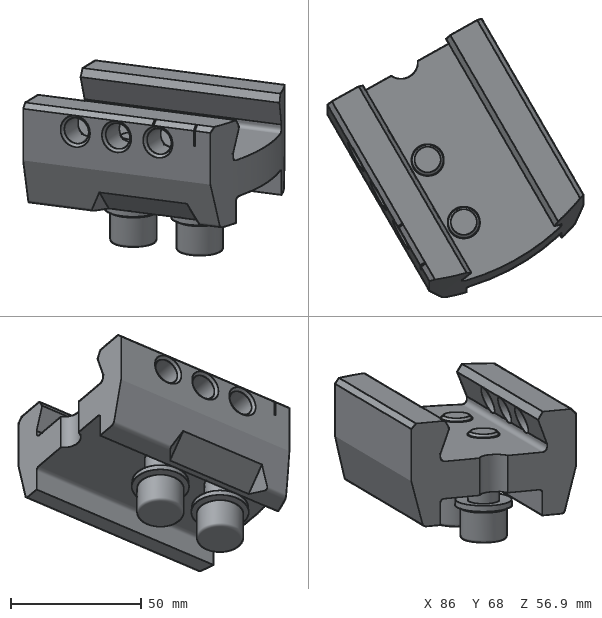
import cadquery as cq
import math


BLOCK_LENGTH = 86.0
BLOCK_WIDTH = 68.0
BLOCK_HEIGHT = 41.0
HALF_WIDTH = BLOCK_WIDTH / 2
END_RADIUS = 88.15

TOP_CHAMFER = 2.0
FLANK_BEND_Z = 18.4
FLANK_TAPER = 15.0
FOOT_ROUND = 1.7

WEB_BOTTOM_Z = 10.3
WEB_TOP_Z = 25.0

LIP_HALF_GAP = 18.3
LIP_Z = 37.9
LIP_TOP_HALF_GAP = 20.2
DOVETAIL_HALF_WIDTH = 22.0
DOVETAIL_WALL_TOP_Z = 28.1
DOVETAIL_ROUND = 2.0

LOWER_CHANNEL_BACK_Y = 22.0
LOWER_CHANNEL_FRONT_Y = -20.1
LOWER_CHANNEL_ROUND = 1.5

NOTCH_RADIUS = 6.45
NOTCH_DEPTH = 3.7

MOUTH_DIAMETER = 12.5

CROSS_HOLE_COUNT = 3
CROSS_HOLE_FIRST_X = 22.1
CROSS_HOLE_PITCH = 17.5
CROSS_HOLE_Z = 32.7
CROSS_HOLE_DIAMETER = 10.2

MARK_WIDTH = 0.5
MARK_DEPTH = 0.2
SHORT_MARK_X = 54.95
LONG_MARK_X = 72.4
LONG_MARK_BOTTOM_Z = 33.0

RELIEF_TOP_Z = 8.8
RELIEF_START_X = 31.05
RELIEF_END_X = 68.0
RELIEF_DEPTH = 10.3
RELIEF_REACH = 20.6

BOLT_XS = (35.5, 63.55)
BOLT_Y = -10.0
SHANK_DIAMETER = 12.0
SHANK_TOP_Z = 26.2
SHANK_TIP_CHAMFER = 1.0
HEAD_DIAMETER = 18.0
HEAD_TOP_Z = -3.9
HEAD_HEIGHT = 12.0
HEAD_ROUND = 1.2

WASHER_DIAMETER = 22.0
WASHER_THICKNESS = 2.2
WASHER_TOP_Z = -0.6
WASHER_CONE_ANGLE = 4.3


def flank_half_width(z):
    """Half width of the block at height z, on the tapered part of its flanks."""
    return HALF_WIDTH - (FLANK_BEND_Z - z) * math.tan(math.radians(FLANK_TAPER))


def outer_body():
    """Plain block: outer cross-section along X, one end flat and the other an arc in plan."""
    foot_half_width = flank_half_width(0)
    section = (
        cq.Workplane("YZ")
        .moveTo(-foot_half_width, 0)
        .lineTo(foot_half_width, 0)
        .lineTo(HALF_WIDTH, FLANK_BEND_Z)
        .lineTo(HALF_WIDTH, BLOCK_HEIGHT - TOP_CHAMFER)
        .lineTo(HALF_WIDTH - TOP_CHAMFER, BLOCK_HEIGHT)
        .lineTo(-HALF_WIDTH + TOP_CHAMFER, BLOCK_HEIGHT)
        .lineTo(-HALF_WIDTH, BLOCK_HEIGHT - TOP_CHAMFER)
        .lineTo(-HALF_WIDTH, FLANK_BEND_Z)
        .close()
        .extrude(BLOCK_LENGTH)
        .edges("|X and <Z")
        .fillet(FOOT_ROUND)
    )
    end_cylinder = (
        cq.Workplane("XY")
        .center(BLOCK_LENGTH - END_RADIUS, 0)
        .circle(END_RADIUS)
        .extrude(BLOCK_HEIGHT)
    )
    return section.intersect(end_cylinder)


def dovetail_channel():
    return (
        cq.Workplane("YZ")
        .moveTo(-DOVETAIL_HALF_WIDTH, WEB_TOP_Z)
        .lineTo(DOVETAIL_HALF_WIDTH, WEB_TOP_Z)
        .lineTo(DOVETAIL_HALF_WIDTH, DOVETAIL_WALL_TOP_Z)
        .lineTo(LIP_HALF_GAP, LIP_Z)
        .lineTo(LIP_TOP_HALF_GAP, BLOCK_HEIGHT)
        .lineTo(-LIP_TOP_HALF_GAP, BLOCK_HEIGHT)
        .lineTo(-LIP_HALF_GAP, LIP_Z)
        .lineTo(-DOVETAIL_HALF_WIDTH, DOVETAIL_WALL_TOP_Z)
        .close()
        .extrude(BLOCK_LENGTH)
        .edges("|X and <Z")
        .fillet(DOVETAIL_ROUND)
    )


def lower_channel():
    return (
        cq.Workplane("YZ")
        .moveTo(LOWER_CHANNEL_FRONT_Y, 0)
        .lineTo(LOWER_CHANNEL_BACK_Y, 0)
        .lineTo(LOWER_CHANNEL_BACK_Y, WEB_BOTTOM_Z)
        .lineTo(LOWER_CHANNEL_FRONT_Y, WEB_BOTTOM_Z)
        .close()
        .extrude(BLOCK_LENGTH)
        .edges("|X and >Z")
        .fillet(LOWER_CHANNEL_ROUND)
    )


def end_notch():
    return (
        cq.Workplane("XY")
        .center(NOTCH_DEPTH - NOTCH_RADIUS, 0)
        .circle(NOTCH_RADIUS)
        .extrude(BLOCK_HEIGHT)
    )


def cross_hole(x):
    """Hole through the -Y wall into the dovetail channel, with a 45 degree countersink."""
    mouth_radius = MOUTH_DIAMETER / 2
    hole_radius = CROSS_HOLE_DIAMETER / 2
    countersink_depth = mouth_radius - hole_radius
    return (
        cq.Workplane("XY")
        .moveTo(0, -HALF_WIDTH)
        .lineTo(mouth_radius, -HALF_WIDTH)
        .lineTo(hole_radius, -HALF_WIDTH + countersink_depth)
        .lineTo(hole_radius, 0)
        .lineTo(0, 0)
        .close()
        .revolve(360, (0, 0, 0), (0, 1, 0))
        .translate((x, 0, CROSS_HOLE_Z))
    )


def chamfer_mark(x):
    """Groove of constant depth straight down the top chamfer of the -Y wall."""
    return (
        cq.Workplane("YZ", origin=(x - MARK_WIDTH / 2, 0, 0))
        .moveTo(-HALF_WIDTH, BLOCK_HEIGHT - TOP_CHAMFER)
        .lineTo(-HALF_WIDTH + TOP_CHAMFER, BLOCK_HEIGHT)
        .lineTo(-HALF_WIDTH + TOP_CHAMFER, BLOCK_HEIGHT - MARK_DEPTH)
        .lineTo(-HALF_WIDTH + MARK_DEPTH, BLOCK_HEIGHT - TOP_CHAMFER)
        .close()
        .extrude(MARK_WIDTH)
    )


def wall_mark(x):
    """Vertical groove in the -Y wall, from the top chamfer downward."""
    mark_height = BLOCK_HEIGHT - TOP_CHAMFER - LONG_MARK_BOTTOM_Z
    return (
        cq.Workplane("XY")
        .box(MARK_WIDTH, MARK_DEPTH, mark_height, centered=(True, False, False))
        .translate((x, -HALF_WIDTH, LONG_MARK_BOTTOM_Z))
    )


def foot_relief():
    """Trapezoid with 45 degree sides, swept along a 45 degree slope under the -Y foot."""
    slope_plane = cq.Plane(
        origin=(0, -flank_half_width(RELIEF_TOP_Z), RELIEF_TOP_Z),
        xDir=(1, 0, 0),
        normal=(0, 1, -1),
    )
    return (
        cq.Workplane(slope_plane)
        .moveTo(RELIEF_START_X, 0)
        .lineTo(RELIEF_END_X, 0)
        .lineTo(RELIEF_END_X + RELIEF_DEPTH, RELIEF_DEPTH)
        .lineTo(RELIEF_START_X - RELIEF_DEPTH, RELIEF_DEPTH)
        .close()
        .extrude(RELIEF_REACH, both=True)
    )


def bolt_hole(x):
    """Hole through the web that fits the bolt shank, with a 45 degree countersink at the top."""
    mouth_radius = MOUTH_DIAMETER / 2
    shank_radius = SHANK_DIAMETER / 2
    countersink_depth = mouth_radius - shank_radius
    return (
        cq.Workplane("XZ")
        .moveTo(0, 0)
        .lineTo(shank_radius, 0)
        .lineTo(shank_radius, WEB_TOP_Z - countersink_depth)
        .lineTo(mouth_radius, WEB_TOP_Z)
        .lineTo(0, WEB_TOP_Z)
        .close()
        .revolve(360, (0, 0, 0), (0, 1, 0))
        .translate((x, BOLT_Y, 0))
    )


def make_block():
    block = outer_body().cut(dovetail_channel()).cut(lower_channel()).cut(end_notch())
    for index in range(CROSS_HOLE_COUNT):
        block = block.cut(cross_hole(CROSS_HOLE_FIRST_X + index * CROSS_HOLE_PITCH))
    for x in (SHORT_MARK_X, LONG_MARK_X):
        block = block.cut(chamfer_mark(x))
    block = block.cut(wall_mark(LONG_MARK_X)).cut(foot_relief())
    for x in BOLT_XS:
        block = block.cut(bolt_hole(x))
    return block


def make_bolt(x):
    """Cap screw pointing up: rounded cylindrical head and a shank with a chamfered tip."""
    head = (
        cq.Workplane("XY")
        .workplane(offset=HEAD_TOP_Z - HEAD_HEIGHT)
        .circle(HEAD_DIAMETER / 2)
        .extrude(HEAD_HEIGHT)
        .faces("<Z")
        .edges()
        .fillet(HEAD_ROUND)
    )
    shank = (
        cq.Workplane("XY")
        .workplane(offset=HEAD_TOP_Z)
        .circle(SHANK_DIAMETER / 2)
        .extrude(SHANK_TOP_Z - HEAD_TOP_Z)
        .faces(">Z")
        .edges()
        .chamfer(SHANK_TIP_CHAMFER)
    )
    return head.union(shank).translate((x, BOLT_Y, 0))


def make_washer(x):
    """Shallow cone of even thickness, dished downward, with its rim square to the cone."""
    angle = math.radians(WASHER_CONE_ANGLE)
    rim_bottom_radius = WASHER_DIAMETER / 2
    rim_top_radius = rim_bottom_radius - WASHER_THICKNESS * math.sin(angle)
    rim_bottom_z = WASHER_TOP_Z - WASHER_THICKNESS * math.cos(angle)
    bore_radius = SHANK_DIAMETER / 2
    bore_top_z = WASHER_TOP_Z - (rim_top_radius - bore_radius) * math.tan(angle)
    bore_bottom_z = rim_bottom_z - (rim_bottom_radius - bore_radius) * math.tan(angle)
    return (
        cq.Workplane("XZ")
        .moveTo(bore_radius, bore_bottom_z)
        .lineTo(rim_bottom_radius, rim_bottom_z)
        .lineTo(rim_top_radius, WASHER_TOP_Z)
        .lineTo(bore_radius, bore_top_z)
        .close()
        .revolve(360, (0, 0, 0), (0, 1, 0))
        .translate((x, BOLT_Y, 0))
    )


block = make_block()
bolts = [make_bolt(x) for x in BOLT_XS]
washers = [make_washer(x) for x in BOLT_XS]

result = cq.Compound.makeCompound(
    [block.val()] + [bolt.val() for bolt in bolts] + [washer.val() for washer in washers]
)